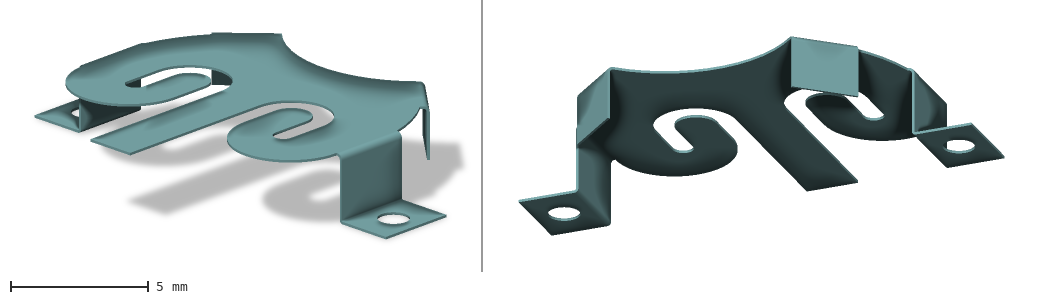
import cadquery as cq
import math

sheet = 0.1
length = 17.78
height = 2.7
outer_bend = 0.23
inner_bend = outer_bend - sheet
foot_outer_bend = 0.15
foot_inner_bend = foot_outer_bend - sheet

disc_radius = 6.58
relief_bottom_y = 4.32

foot_width = 3.15
foot_hole_diameter = 1.2
foot_hole_x = 7.75
plate_edge_x = math.sqrt(disc_radius**2 - (foot_width / 2) ** 2)
wall_outer_x = 6.65

tab_width = 2.56
tab_depth = 2.08
tab_angle = 47.8

tongue_width = 2.01
tongue_end_y = -6.8
slot_width = 0.78
slot_inner_radius = 0.78
slot_outer_radius = slot_inner_radius + slot_width
slot_x = tongue_width / 2 + slot_outer_radius
slot_end_y = -1.62
finger_inner_x = slot_x - slot_inner_radius
lobe_radius = (plate_edge_x - finger_inner_x) / 2
lobe_x = (plate_edge_x + finger_inner_x) / 2


def tab_point(radial, sideways):
    """XY point of the right tab, given outward and toward the relief."""
    angle = math.radians(tab_angle)
    x = radial * math.cos(angle) - sideways * math.sin(angle)
    y = radial * math.sin(angle) + sideways * math.cos(angle)
    return x, y


def make_plate():
    """Flat top sheet with the relief, both hooked slots and the tongue."""
    half_tab = tab_width / 2
    relief_end = tab_point(disc_radius, half_tab)
    tab_corner = tab_point(disc_radius, -half_tab)
    arc_start = tab_point(math.sqrt(disc_radius**2 - half_tab**2), -half_tab)
    arc_end = (plate_edge_x, foot_width / 2)
    middle_angle = (math.atan2(arc_start[1], arc_start[0]) + math.atan2(arc_end[1], arc_end[0])) / 2
    arc_middle = (disc_radius * math.cos(middle_angle), disc_radius * math.sin(middle_angle))

    slot_outer_x = slot_x + slot_outer_radius
    slot_mid_x = slot_outer_x - slot_width / 2
    finger_outer_x = slot_x + slot_inner_radius
    half_tongue = tongue_width / 2

    half = (
        cq.Workplane("XY", origin=(0, 0, height - sheet))
        .moveTo(0, tongue_end_y)
        .lineTo(0, relief_bottom_y)
        .threePointArc(relief_middle(relief_end), relief_end)
        .lineTo(*tab_corner)
        .lineTo(*arc_start)
        .threePointArc(arc_middle, arc_end)
        .lineTo(plate_edge_x, slot_end_y)
        .threePointArc((lobe_x, slot_end_y - lobe_radius), (finger_inner_x, slot_end_y))
        .lineTo(finger_inner_x, 0)
        .threePointArc((slot_x, slot_inner_radius), (finger_outer_x, 0))
        .lineTo(finger_outer_x, slot_end_y)
        .threePointArc((slot_mid_x, slot_end_y - slot_width / 2), (slot_outer_x, slot_end_y))
        .lineTo(slot_outer_x, 0)
        .threePointArc((slot_x, slot_outer_radius), (half_tongue, 0))
        .lineTo(half_tongue, tongue_end_y)
        .close()
        .extrude(sheet)
    )
    return half.union(half.mirror("YZ"))


def relief_middle(end):
    """Point halfway along the relief arc, from the symmetry plane to its end."""
    rise = end[1] - relief_bottom_y
    radius = (end[0] ** 2 + rise**2) / (2 * rise)
    angle = math.asin(end[0] / radius) / 2
    return radius * math.sin(angle), relief_bottom_y + radius * (1 - math.cos(angle))


def bend_corner(profile, center, radius, start_angle, end_angle):
    """Add an arc to a profile, its angles in degrees about the given center."""
    def at(angle):
        turn = math.radians(angle)
        return center[0] + radius * math.cos(turn), center[1] + radius * math.sin(turn)

    return profile.threePointArc(at((start_angle + end_angle) / 2), at(end_angle))


def make_foot():
    """Right foot: bend down from the plate, wall, and flange bent outward."""
    top_center = (wall_outer_x - outer_bend, height - outer_bend)
    low_center = (wall_outer_x + foot_inner_bend, foot_outer_bend)
    profile = (
        cq.Workplane("XZ", origin=(0, foot_width / 2, 0))
        .moveTo(plate_edge_x, height)
        .lineTo(top_center[0], height)
    )
    profile = bend_corner(profile, top_center, outer_bend, 90, 0)
    profile = profile.lineTo(wall_outer_x, low_center[1])
    profile = bend_corner(profile, low_center, foot_inner_bend, 180, 270)
    profile = profile.lineTo(length / 2, sheet).lineTo(length / 2, 0).lineTo(low_center[0], 0)
    profile = bend_corner(profile, low_center, foot_outer_bend, 270, 180)
    profile = profile.lineTo(wall_outer_x - sheet, top_center[1])
    profile = bend_corner(profile, top_center, inner_bend, 0, 90)
    foot = profile.lineTo(plate_edge_x, height - sheet).close().extrude(foot_width)
    hole = cq.Workplane("XY").center(foot_hole_x, 0).circle(foot_hole_diameter / 2).extrude(sheet)
    return foot.cut(hole)


def make_tab():
    """Right retaining tab: bend and vertical wall, turned to its angle."""
    center = (disc_radius, height - outer_bend)
    bottom = height - tab_depth
    profile = cq.Workplane("XZ", origin=(0, tab_width / 2, 0)).moveTo(disc_radius, height)
    profile = bend_corner(profile, center, outer_bend, 90, 0)
    profile = profile.lineTo(disc_radius + outer_bend, bottom).lineTo(disc_radius + inner_bend, bottom)
    profile = profile.lineTo(disc_radius + inner_bend, center[1])
    profile = bend_corner(profile, center, inner_bend, 0, 90)
    tab = profile.close().extrude(tab_width)
    return tab.rotate((0, 0, 0), (0, 0, 1), tab_angle)


result = make_plate()
for bent_part in (make_foot(), make_tab()):
    result = result.union(bent_part).union(bent_part.mirror("YZ"))